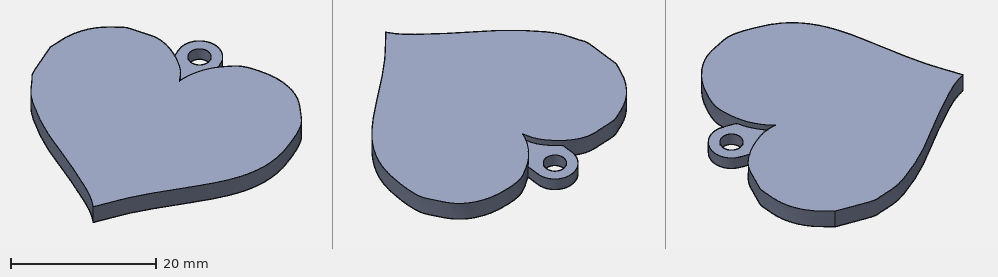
import cadquery as cq


heart_thickness = 3.0
loop_thickness = 2.0
hole_diameter = 3.2
loop_radius = hole_diameter
loop_centre_y = 34.18

total_width = 38.05
left_edge_x = -18.95
right_edge_x = left_edge_x + total_width
top_y = 34.25
tip = (0.0, 0.0)
cleft = (0.0, 27.67)
left_flat_bottom = (left_edge_x, 21.9)
left_flat_top = (left_edge_x, 26.25)
left_crown_start = (-10.5, top_y)
left_crown_end = (-7.45, top_y)
right_crown = (8.75, top_y)
right_side = (right_edge_x, 23.8)

lower_left_curve = [
    (-1.3, 1.7), (-3.45, 3.75), (-7.7, 7.25), (-12.03, 10.65),
    (-16.1, 14.85), (-17.47, 16.85), (-18.6, 19.6),
]
upper_left_curve = [(-17.95, 28.65), (-16.1, 31.35), (-13.45, 33.25), (-12.05, 33.87)]
left_cleft_curve = [(-5.2, 33.72), (-3.12, 32.35), (-1.03, 30.05)]
right_cleft_curve = [(1.03, 29.75), (2.75, 31.78), (5.15, 33.45)]
upper_right_curve = [(13.4, 33.4), (16.33, 31.35), (18.0, 28.8)]
lower_right_curve = [(17.95, 17.62), (16.05, 14.55), (12.1, 10.65), (7.73, 7.2), (3.58, 3.65)]

up = (0, 1)
down = (0, -1)
rightward = (1, 0)

leaving_tip = (-0.6, 1)
leaving_left_flat = (0.4, 1)
entering_cleft = (0.3, -1)
leaving_cleft = (0.3, 1)
entering_tip = (-1, -1)


def add_curve(sketch, points, start_direction, end_direction):
    """Continue the outline with a smooth curve through the points."""
    return sketch.spline(points, tangents=[start_direction, end_direction], includeCurrent=True)


def make_heart():
    """Plate whose outline runs clockwise from the bottom tip."""
    outline = cq.Workplane("XY").moveTo(*tip)
    outline = add_curve(outline, lower_left_curve + [left_flat_bottom], leaving_tip, up)
    outline = outline.lineTo(*left_flat_top)
    outline = add_curve(outline, upper_left_curve + [left_crown_start], leaving_left_flat, rightward)
    outline = outline.lineTo(*left_crown_end)
    outline = add_curve(outline, left_cleft_curve + [cleft], rightward, entering_cleft)
    outline = add_curve(outline, right_cleft_curve + [right_crown], leaving_cleft, rightward)
    outline = add_curve(outline, upper_right_curve + [right_side], rightward, down)
    outline = add_curve(outline, lower_right_curve + [tip], down, entering_tip)
    return outline.close().extrude(heart_thickness)


def make_loop():
    """Round-ended tab that fills the cleft and ends inside the heart."""
    return (
        cq.Workplane("XY")
        .moveTo(-loop_radius, cleft[1])
        .lineTo(-loop_radius, loop_centre_y)
        .threePointArc((0, loop_centre_y + loop_radius), (loop_radius, loop_centre_y))
        .lineTo(loop_radius, cleft[1])
        .close()
        .extrude(loop_thickness)
    )


def make_hole():
    """Cutter for the hole through the loop."""
    return (
        cq.Workplane("XY")
        .center(0, loop_centre_y)
        .circle(hole_diameter / 2)
        .extrude(loop_thickness)
    )


result = make_heart().union(make_loop()).cut(make_hole())